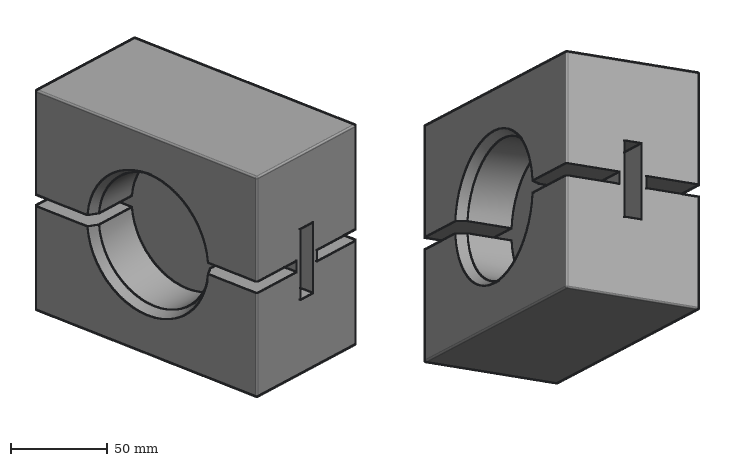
import cadquery as cq

LENGTH = 152.4
DEPTH = 79.5
HEIGHT = 129.1
EDGE_RADIUS = 1.0

WEB_THICKNESS = 16.0
RECESS_DEPTH = (DEPTH - WEB_THICKNESS) / 2

RECESS_RADIUS = 38.3
RECESS_CENTER_X = 1.2
MOUTH_RADIUS = 41.5
MOUTH_DEPTH = 5.5

GAP_HEIGHT = 6.6

PASSAGE_WIDTH = 10.3
PASSAGE_HEIGHT = 41.5


def make_block():
    block = cq.Workplane("XY").box(LENGTH, DEPTH, HEIGHT)
    return block.edges().fillet(EDGE_RADIUS)


def make_front_recess():
    """Round recess with a tapered mouth, open at the front (-Y) face."""
    front_y = -DEPTH / 2
    half_profile = (
        cq.Workplane("XY")
        .moveTo(0, front_y)
        .lineTo(MOUTH_RADIUS, front_y)
        .lineTo(RECESS_RADIUS, front_y + MOUTH_DEPTH)
        .lineTo(RECESS_RADIUS, front_y + RECESS_DEPTH)
        .lineTo(0, front_y + RECESS_DEPTH)
        .close()
    )
    recess = half_profile.revolve(360, (0, 0, 0), (0, 1, 0))
    return recess.translate((RECESS_CENTER_X, 0, 0))


def make_front_gap():
    """Full-length horizontal gap between the front (-Y) face and the web."""
    gap = cq.Workplane("XY").box(LENGTH, RECESS_DEPTH, GAP_HEIGHT)
    return gap.translate((0, -(DEPTH - RECESS_DEPTH) / 2, 0))


def make_passage():
    return cq.Workplane("XY").box(LENGTH, PASSAGE_WIDTH, PASSAGE_HEIGHT)


front_cut = make_front_recess().union(make_front_gap())
back_cut = front_cut.mirror("XZ")

result = make_block().cut(front_cut).cut(back_cut).cut(make_passage())